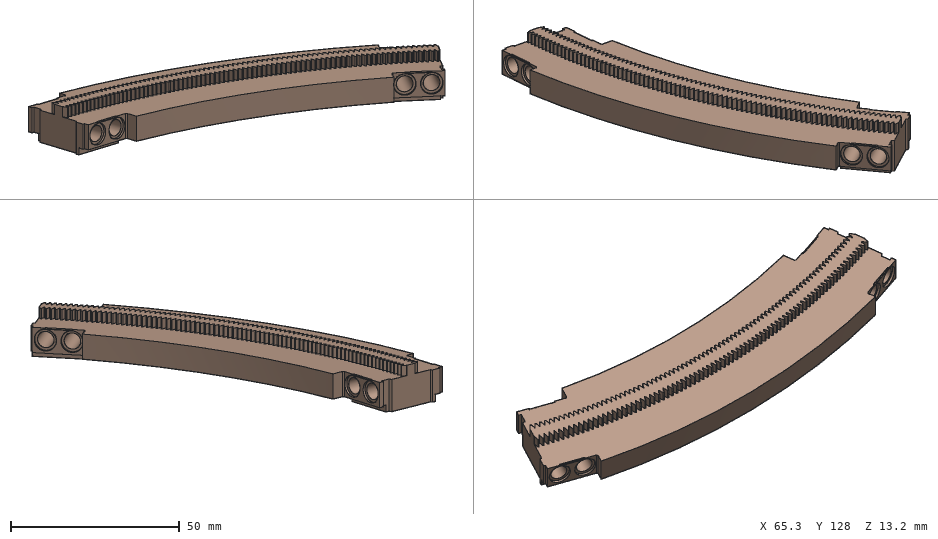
import cadquery as cq
import math


TRACK_RADIUS = 200.2
TRACK_ANGLE = 36.8

FOOT_HEIGHT = 2.2
BED_HEIGHT = 7.8
RACK_HEIGHT = 3.2
BED_TOP = FOOT_HEIGHT + BED_HEIGHT

BED_WIDTH = 32.0
BLOCK_WIDTH = 25.1
BLOCK_LENGTH = 16.0

FOOT_WIDTH = 18.5
FOOT_SLOT_WIDTH = 15.9
FOOT_SLOT_DEPTH = 7.7

CORNER_CHAMFER = 0.4

KEY_OUTER_SIDE = 11.0
KEY_INNER_SIDE = 8.1
KEY_FLARE = 0.4
LUG_DEPTH = 0.6
NOTCH_DEPTH = 0.9

HOLE_DIAMETER = 5.0
COUNTERBORE_DIAMETER = 6.7
COUNTERBORE_DEPTH = 0.8
HOLE_PITCH = 8.1
FIRST_HOLE = (BLOCK_LENGTH - HOLE_PITCH) / 2
HOLE_RISE = 0.1
HOLE_HEIGHT = FOOT_HEIGHT + BED_HEIGHT / 2 + HOLE_RISE

STEP_HEIGHT = 0.4
STEP_DEPTH = 0.4

TOOTH_COUNT = 81
RACK_ROOT_HALF_WIDTH = 1.7
RACK_TIP_HALF_WIDTH = 3.2
ROOT_SHARE = 0.1
TIP_SHARE = 0.25


def track_point(offset, angle):
    """Point at an outward offset from the centreline and an angle in degrees along the track."""
    radius = TRACK_RADIUS + offset
    turn = math.radians(angle)
    return (TRACK_RADIUS - radius * math.cos(turn), radius * math.sin(turn))


def box(width, length, height, x_middle, y_start, z_start):
    """Box centred on x_middle that grows towards +Y and +Z."""
    return (
        cq.Workplane("XY")
        .box(width, length, height, centered=(True, False, False))
        .translate((x_middle, y_start, z_start))
    )


def cross_cylinder(diameter, x_start, length, y):
    return (
        cq.Workplane("YZ", origin=(x_start, 0, 0))
        .center(y, HOLE_HEIGHT)
        .circle(diameter / 2)
        .extrude(length)
    )


def key_prism(side, depth):
    """Full-height lug or notch from the end plane to a signed depth in Y."""
    return (
        cq.Workplane("XY")
        .moveTo(side * KEY_OUTER_SIDE, 0)
        .lineTo(side * KEY_OUTER_SIDE, depth)
        .lineTo(side * KEY_INNER_SIDE, depth)
        .lineTo(side * (KEY_INNER_SIDE - KEY_FLARE), 0)
        .close()
        .extrude(BED_TOP)
    )


def corner_fill(side):
    """Small triangular prism against a block side, where the bed begins."""
    x_side = side * BLOCK_WIDTH / 2
    return (
        cq.Workplane("XY", origin=(0, 0, FOOT_HEIGHT))
        .moveTo(x_side, BLOCK_LENGTH)
        .lineTo(x_side + side * CORNER_CHAMFER, BLOCK_LENGTH)
        .lineTo(x_side, BLOCK_LENGTH - CORNER_CHAMFER)
        .close()
        .extrude(BED_HEIGHT)
    )


def make_end_block():
    """End block in the near position, with its foot, lug, notch and cross holes."""
    block = box(BLOCK_WIDTH, BLOCK_LENGTH, BED_HEIGHT, 0, 0, FOOT_HEIGHT)
    foot = box(FOOT_WIDTH, BLOCK_LENGTH, FOOT_HEIGHT, 0, 0, 0)
    slot_start = BLOCK_LENGTH - FOOT_SLOT_DEPTH
    foot = foot.cut(box(FOOT_SLOT_WIDTH, FOOT_SLOT_DEPTH, FOOT_HEIGHT, 0, slot_start, 0))

    lug = key_prism(1, -LUG_DEPTH)
    side_middle = (FOOT_WIDTH + BLOCK_WIDTH) / 2
    side_space = box(BLOCK_WIDTH, BLOCK_LENGTH, FOOT_HEIGHT, side_middle, -LUG_DEPTH, 0)
    notch = key_prism(-1, NOTCH_DEPTH)
    block = block.union(foot).union(lug.cut(side_space)).cut(notch)

    half_width = BLOCK_WIDTH / 2
    for y in (FIRST_HOLE, FIRST_HOLE + HOLE_PITCH):
        block = block.cut(cross_cylinder(HOLE_DIAMETER, -half_width, BLOCK_WIDTH, y))
        for x_start in (-half_width, half_width - COUNTERBORE_DEPTH):
            block = block.cut(cross_cylinder(COUNTERBORE_DIAMETER, x_start, COUNTERBORE_DEPTH, y))

    for side in (-1, 1):
        block = block.union(corner_fill(side))
        x_middle = side * (half_width - STEP_DEPTH / 2)
        block = block.cut(
            box(STEP_DEPTH, HOLE_PITCH, STEP_HEIGHT, x_middle, FIRST_HOLE, BED_TOP - STEP_HEIGHT)
        )
    return block


def turn_to_far_end(shape):
    """Half turn in place, then a swing along the track to the far end plane."""
    pivot = (TRACK_RADIUS, 0, 0)
    pivot_top = (TRACK_RADIUS, 0, 1)
    return shape.rotate((0, 0, 0), (0, 0, 1), 180).rotate(pivot, pivot_top, -TRACK_ANGLE)


def make_bed():
    """Arc-shaped bed, cut square to the track where the end blocks begin."""
    half_width = BED_WIDTH / 2
    half_angle = TRACK_ANGLE / 2
    bed = (
        cq.Workplane("XY", origin=(0, 0, FOOT_HEIGHT))
        .moveTo(*track_point(half_width, 0))
        .threePointArc(track_point(half_width, half_angle), track_point(half_width, TRACK_ANGLE))
        .lineTo(*track_point(-half_width, TRACK_ANGLE))
        .threePointArc(track_point(-half_width, half_angle), track_point(-half_width, 0))
        .close()
        .extrude(BED_HEIGHT)
    )
    end_space = box(2 * BED_WIDTH, BLOCK_LENGTH, BED_TOP, 0, 0, 0)
    return bed.cut(end_space).cut(turn_to_far_end(end_space))


def make_rack():
    """Rack with radial teeth on both sides and half a root at each end plane."""
    pitch = TRACK_ANGLE / TOOTH_COUNT
    tooth_profile = [
        (RACK_ROOT_HALF_WIDTH, ROOT_SHARE / 2),
        (RACK_TIP_HALF_WIDTH, (1 - TIP_SHARE) / 2),
        (RACK_TIP_HALF_WIDTH, (1 + TIP_SHARE) / 2),
        (RACK_ROOT_HALF_WIDTH, 1 - ROOT_SHARE / 2),
    ]
    side = [(RACK_ROOT_HALF_WIDTH, 0)]
    for tooth in range(TOOTH_COUNT):
        side += [(offset, (tooth + share) * pitch) for offset, share in tooth_profile]
    side.append((RACK_ROOT_HALF_WIDTH, TRACK_ANGLE))

    outer_side = [track_point(offset, angle) for offset, angle in side]
    inner_side = [track_point(-offset, angle) for offset, angle in reversed(side)]
    return (
        cq.Workplane("XY", origin=(0, 0, BED_TOP))
        .polyline(outer_side + inner_side)
        .close()
        .extrude(RACK_HEIGHT)
    )


end_block = make_end_block()
track = make_bed().union(end_block).union(turn_to_far_end(end_block))
result = track.union(make_rack())